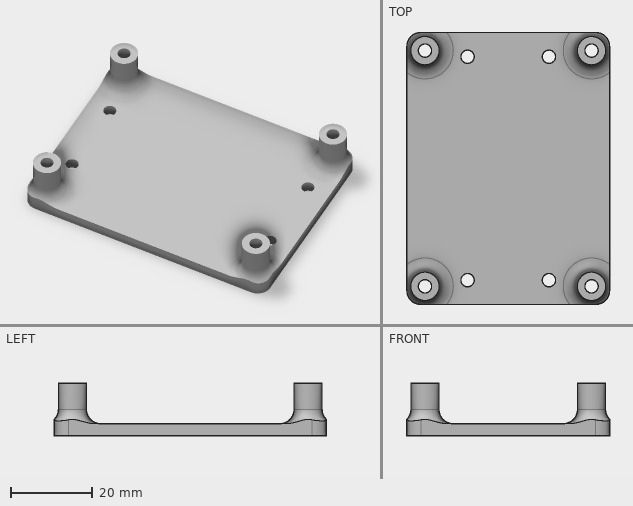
import cadquery as cq

plate_width = 50.0
plate_length = 67.0
plate_thickness = 3.0
corner_radius = 3.5

total_height = 13.0
post_diameter = 7.0
post_spacing_x = 41.0
post_spacing_y = 58.0
flare_radius = 3.5

hole_diameter = 3.2
plate_hole_spacing_x = 20.0
plate_hole_spacing_y = 55.0


def rounded_block(height):
    """Block with the plate outline, standing on Z = 0."""
    block = cq.Workplane("XY").box(plate_width, plate_length, height, centered=(True, True, False))
    return block.edges("|Z").fillet(corner_radius)


def standoff():
    """Solid post on the Z axis with a concave quarter-round flare at its foot."""
    post_radius = post_diameter / 2
    foot_radius = post_radius + flare_radius
    flare_top = plate_thickness + flare_radius
    arc_inset = flare_radius * 0.5**0.5
    arc_middle = (foot_radius - arc_inset, flare_top - arc_inset)
    return (
        cq.Workplane("XZ")
        .lineTo(foot_radius, 0)
        .lineTo(foot_radius, plate_thickness)
        .threePointArc(arc_middle, (post_radius, flare_top))
        .lineTo(post_radius, total_height)
        .lineTo(0, total_height)
        .close()
        .revolve(360, (0, 0, 0), (0, 1, 0))
    )


def corner_points(spacing_x, spacing_y):
    """Four points of a rectangle centred on the origin."""
    return [(sx * spacing_x / 2, sy * spacing_y / 2) for sx in (-1, 1) for sy in (-1, 1)]


post_points = corner_points(post_spacing_x, post_spacing_y)
plate_hole_points = corner_points(plate_hole_spacing_x, plate_hole_spacing_y)

result = rounded_block(plate_thickness)
trim_block = rounded_block(total_height)
for x, y in post_points:
    result = result.union(standoff().translate((x, y, 0)).intersect(trim_block))

holes = (
    cq.Workplane("XY")
    .pushPoints(post_points + plate_hole_points)
    .circle(hole_diameter / 2)
    .extrude(total_height)
)
result = result.cut(holes)